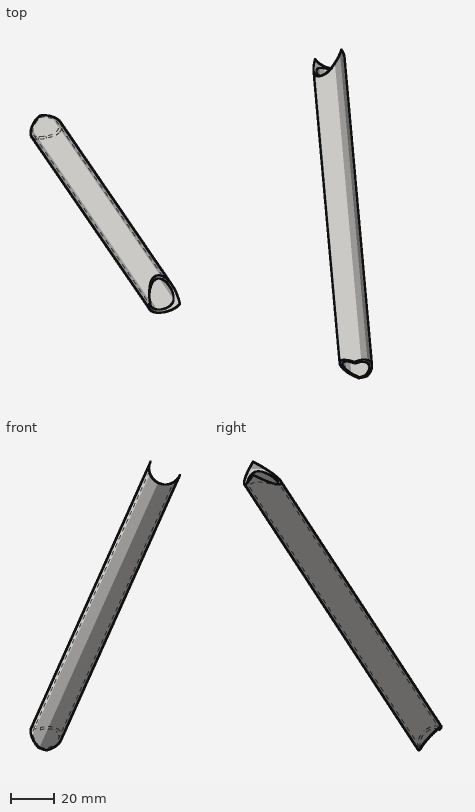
import cadquery as cq

tube_radius = 7.5
wall = 1.3
bore_radius = tube_radius - wall

lower_joint = cq.Vector(-28.5, 40.5, -62.3)
upper_joint = cq.Vector(27.7, -41.6, 63.2)
tube_vector = upper_joint - lower_joint
tube_direction = tube_vector.normalized()

member_direction = cq.Vector(0, 1, 0)
member_length = 80.0

left_miter_normal = cq.Vector(0.69, -0.5, 0.53)
left_miter_height = -0.5
right_miter_normal = cq.Vector(-0.11, -0.72, 0.68)
right_miter_height = 0.5

lower_overrun = 0.5
upper_overrun = 20.0
cutter_size = 80.0


def cylinder(start, direction, length, radius):
    return cq.Workplane(cq.Solid.makeCylinder(radius, length, start, direction))


def miter_cutter(height, normal):
    """Block that removes everything behind a plane crossing the tube axis."""
    origin = lower_joint + tube_direction * height
    plane = cq.Plane(origin=origin, normal=normal)
    return cq.Workplane(plane).rect(cutter_size, cutter_size).extrude(-cutter_size)


blank_start = lower_joint - tube_direction * lower_overrun
blank_length = tube_vector.Length + lower_overrun + upper_overrun
outside = cylinder(blank_start, tube_direction, blank_length, tube_radius)
bore = cylinder(blank_start, tube_direction, blank_length, bore_radius)
tube = outside.cut(bore)

tube = tube.cut(miter_cutter(left_miter_height, left_miter_normal))
tube = tube.cut(miter_cutter(right_miter_height, right_miter_normal))

member_start = upper_joint - member_direction * (member_length / 2)
upper_member = cylinder(member_start, member_direction, member_length, tube_radius)
coped = tube.cut(upper_member)

result = cq.Workplane(max(coped.solids().vals(), key=lambda piece: piece.Volume()))